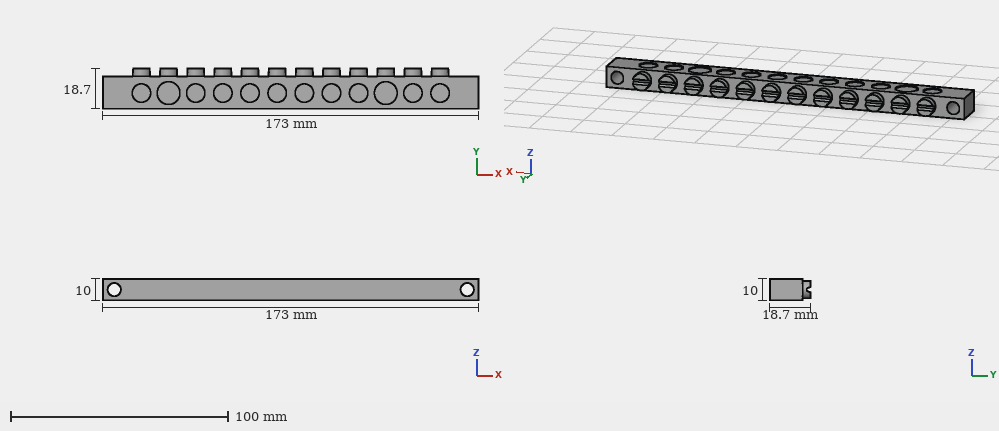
import cadquery as cq

bar_length = 173.0
bar_depth = 15.0
bar_height = 10.0
mid_height = bar_height / 2

mount_hole_diameter = 6.0
mount_hole_inset = 5.25

station_count = 12
station_pitch = 12.5
first_station_x = -station_pitch * (station_count - 1) / 2

screw_diameter = 8.0
screw_projection = 3.7
slot_mouth_width = 2.5
slot_floor_width = 1.0
slot_depth = 1.7

recess_y = 7.3
recess_depth = 0.5
small_recess_diameter = 8.5
large_recess_diameter = 10.5
large_recess_stations = (1, station_count - 3)


def station_x(index):
    """X position of a station, counted from the -X end."""
    return first_station_x + index * station_pitch


def make_bar():
    return cq.Workplane("XY").box(bar_length, bar_depth, bar_height, centered=(True, False, False))


def mounting_hole(x):
    """Cylinder that cuts one mounting hole along Y."""
    radius = mount_hole_diameter / 2
    return cq.Solid.makeCylinder(radius, bar_depth, cq.Vector(x, 0, mid_height), cq.Vector(0, 1, 0))


def screw_head(x):
    """Screw head on the back face, with a tapered driver slot along X across its end."""
    radius = screw_diameter / 2
    base = cq.Vector(x, bar_depth, mid_height)
    head = cq.Solid.makeCylinder(radius, screw_projection, base, cq.Vector(0, 1, 0))
    slot_mouth_y = bar_depth + screw_projection
    slot_floor_y = slot_mouth_y - slot_depth
    slot = (
        cq.Workplane("YZ", origin=(x - radius, 0, mid_height))
        .moveTo(slot_mouth_y, -slot_mouth_width / 2)
        .lineTo(slot_floor_y, -slot_floor_width / 2)
        .lineTo(slot_floor_y, slot_floor_width / 2)
        .lineTo(slot_mouth_y, slot_mouth_width / 2)
        .close()
        .extrude(screw_diameter)
    )
    return head.cut(slot.val())


def top_recess(index):
    """Cylinder that cuts the shallow round recess of one station."""
    is_large = index in large_recess_stations
    diameter = large_recess_diameter if is_large else small_recess_diameter
    floor_centre = cq.Vector(station_x(index), recess_y, bar_height - recess_depth)
    return cq.Solid.makeCylinder(diameter / 2, recess_depth, floor_centre)


result = make_bar()

mount_hole_x = bar_length / 2 - mount_hole_inset
for side in (-1, 1):
    result = result.cut(mounting_hole(side * mount_hole_x))

for station in range(station_count):
    result = result.union(screw_head(station_x(station)))
    result = result.cut(top_recess(station))